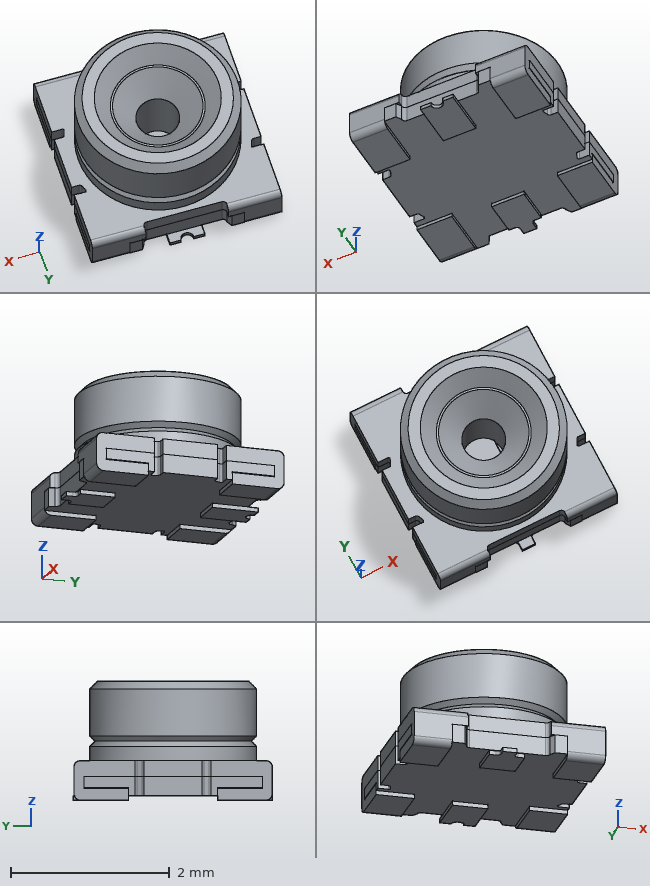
import cadquery as cq

base_size = 2.5
total_height = 1.5
plate_top = 0.5
split_z = 0.299
case_bottom = 0.055

tower_diameter = 2.1
tower_chamfer = 0.098
groove_z = 0.745
groove_half_height = 0.065
groove_depth = 0.065

mouth_diameter = 1.6
bore_diameter = 1.195
funnel_diameter = 1.14
hole_diameter = 0.55
hole_floor = 0.15

leg_inner_x = 0.753
leg_thickness = 0.128
foot_length = 0.69
foot_thickness = 0.15
foot_gap = 0.01
top_fold_radius = 0.08
bottom_fold_radius = 0.09

notch_half_width = 0.545
notch_floor_y = 1.127
notch_corner_radius = 0.05
notch_flare = 0.045

slot_inner_y = 0.365
slot_outer_y = 0.48
slot_inner_depth = 0.123
slot_outer_depth = 0.168
slot_inner_round = 0.04
slot_outer_round = 0.02

terminal_thickness = 0.055
terminal_width = 0.462
fixed_terminal_reach = 1.26
moving_terminal_reach = 1.25
terminal_bend_y = 0.703
fixed_contact_end_y = -0.326
moving_contact_end_y = 0.402
half_hole_diameter = 0.165
half_hole_depth = 0.083
shoulder_y = 1.11
tail_width = 0.185
tail_corner_radius = 0.05

half_base = base_size / 2
tower_radius = tower_diameter / 2
mouth_radius = mouth_diameter / 2
bore_radius = bore_diameter / 2
funnel_radius = funnel_diameter / 2
hole_radius = hole_diameter / 2
boss_top = total_height - (mouth_radius - bore_radius)
hole_top = boss_top - (funnel_radius - hole_radius)
signs = (-1, 1)


def block(x_range, y_range, z_range):
    """Box between two limits, in any order, along each axis."""
    sizes = [abs(r[1] - r[0]) for r in (x_range, y_range, z_range)]
    centre = tuple((r[0] + r[1]) / 2 for r in (x_range, y_range, z_range))
    return cq.Workplane("XY").box(*sizes).translate(centre)


def turned(profile):
    """Solid of revolution about Z from (radius, height) points."""
    return cq.Workplane("XZ").polyline(profile).close().revolve(360, (0, 0), (0, 1))


def leg_ranges():
    """X range, leg Y range and foot Y range of each of the four shell legs."""
    ranges = []
    for x_side in signs:
        for y_side in signs:
            outer_y = y_side * half_base
            x_range = (x_side * leg_inner_x, x_side * half_base)
            leg_y = (outer_y, outer_y - y_side * leg_thickness)
            foot_y = (outer_y, outer_y - y_side * foot_length)
            ranges.append((x_range, leg_y, foot_y))
    return ranges


def edge_notch(side, flare):
    """Full-height notch cutter for the side facing side * Y, with rounded inner corners."""
    straight_part = block(
        (-notch_half_width, notch_half_width), (notch_floor_y, half_base), (0, total_height)
    )
    cutter = straight_part.edges("|Z and <Y").fillet(notch_corner_radius)
    if flare > 0:
        flare_start_y = notch_floor_y + notch_corner_radius
        flared_mouth = [
            (-notch_half_width, flare_start_y),
            (notch_half_width, flare_start_y),
            (notch_half_width + flare, half_base),
            (-notch_half_width - flare, half_base),
        ]
        cutter = cutter.union(cq.Workplane("XY").polyline(flared_mouth).close().extrude(total_height))
    return cutter if side > 0 else cutter.mirror("XZ")


def side_slot(x_side, y_side):
    """Full-height slot cutter with a slanted, round-cornered inner end."""
    outline = [
        (half_base, slot_inner_y),
        (half_base - slot_inner_depth, slot_inner_y),
        (half_base - slot_outer_depth, slot_outer_y),
        (half_base, slot_outer_y),
    ]
    points = [(x_side * x, y_side * y) for x, y in outline]
    cutter = cq.Workplane("XY").polyline(points).close().extrude(total_height)
    for depth, y, radius in (
        (slot_inner_depth, slot_inner_y, slot_inner_round),
        (slot_outer_depth, slot_outer_y, slot_outer_round),
    ):
        corner = (x_side * (half_base - depth), y_side * y, total_height / 2)
        corner_edge = cq.selectors.NearestToPointSelector(corner)
        cutter = cutter.edges("|Z").edges(corner_edge).fillet(radius)
    return cutter


def cut_side_features(body, notch_mouth_flare):
    """Cut the two notches and four slots shared by the shell and the case."""
    for side in signs:
        body = body.cut(edge_notch(side, notch_mouth_flare))
    for x_side in signs:
        for y_side in signs:
            body = body.cut(side_slot(x_side, y_side))
    return body


def make_shell():
    """Metal shell: round tower on a square plate with four folded-under legs."""
    plate = block((-half_base, half_base), (-half_base, half_base), (split_z, plate_top))
    for leg_x, leg_y, foot_y in leg_ranges():
        plate = plate.union(block(leg_x, leg_y, (0, split_z)))
        plate = plate.union(block(leg_x, foot_y, (0, foot_thickness)))
    plate = plate.faces("<Y or >Y").edges(">Z").fillet(top_fold_radius)
    plate = plate.faces("<Y or >Y").edges("<Z").fillet(bottom_fold_radius)
    plate = cut_side_features(plate, 0)

    tower_profile = [
        (0, split_z),
        (tower_radius, split_z),
        (tower_radius, groove_z - groove_half_height),
        (tower_radius - groove_depth, groove_z),
        (tower_radius, groove_z + groove_half_height),
        (tower_radius, total_height - tower_chamfer),
        (tower_radius - tower_chamfer, total_height),
        (0, total_height),
    ]
    bore_profile = [
        (0, split_z),
        (bore_radius, split_z),
        (bore_radius, boss_top),
        (mouth_radius, total_height),
        (0, total_height),
    ]
    tower = turned(tower_profile)
    bore = turned(bore_profile)
    return plate.union(tower).cut(bore)


def stepped_strip(reach, contact_end_y):
    """Full-width strip pointing to +Y: flat on the board outside, stepped up inside the case."""
    riser_inner_y = terminal_bend_y - terminal_thickness
    contact_top = hole_floor + terminal_thickness
    profile = [
        (reach, 0),
        (reach, terminal_thickness),
        (terminal_bend_y, terminal_thickness),
        (terminal_bend_y, contact_top),
        (contact_end_y, contact_top),
        (contact_end_y, hole_floor),
        (riser_inner_y, hole_floor),
        (riser_inner_y, 0),
    ]
    return cq.Workplane("YZ").polyline(profile).close().extrude(terminal_width / 2, both=True)


def make_fixed_terminal():
    """Terminal on the +Y side, lying across the bottom of the hole."""
    strip = stepped_strip(fixed_terminal_reach, fixed_contact_end_y)
    half_hole_y = fixed_terminal_reach - half_hole_depth + half_hole_diameter / 2
    half_hole = (
        cq.Workplane("XY")
        .center(0, half_hole_y)
        .circle(half_hole_diameter / 2)
        .extrude(terminal_thickness)
    )
    return strip.cut(half_hole)


def make_moving_terminal():
    """Terminal on the -Y side, narrowed to a tail with rounded inner corners."""
    strip = stepped_strip(moving_terminal_reach, moving_contact_end_y)
    for side in signs:
        x_range = (side * tail_width / 2, side * terminal_width / 2)
        beside_tail = block(x_range, (shoulder_y, moving_terminal_reach), (0, terminal_thickness))
        corner = (side * tail_width / 2, shoulder_y, terminal_thickness / 2)
        corner_edge = cq.selectors.NearestToPointSelector(corner)
        beside_tail = beside_tail.edges("|Z").edges(corner_edge).fillet(tail_corner_radius)
        strip = strip.cut(beside_tail)
    return strip.mirror("XZ")


def make_case(terminals):
    """Insulating case: a slab between the shell legs and a boss filling the shell bore."""
    slab = block((-half_base, half_base), (-half_base, half_base), (case_bottom, split_z))
    slab = cut_side_features(slab, notch_flare)
    for leg_x, leg_y, foot_y in leg_ranges():
        slab = slab.cut(block(leg_x, leg_y, (case_bottom, split_z)))
        slab = slab.cut(block(leg_x, foot_y, (case_bottom, foot_thickness + foot_gap)))

    boss = cq.Workplane("XY").workplane(offset=case_bottom).circle(bore_radius).extrude(boss_top - case_bottom)
    funnel_profile = [
        (0, hole_floor),
        (hole_radius, hole_floor),
        (hole_radius, hole_top),
        (funnel_radius, boss_top),
        (0, boss_top),
    ]
    funnel = turned(funnel_profile)
    body = slab.union(boss).cut(funnel)
    for terminal in terminals:
        body = body.cut(terminal)
    return body


shell = make_shell()
fixed_terminal = make_fixed_terminal()
moving_terminal = make_moving_terminal()
case = make_case([fixed_terminal, moving_terminal])

bodies = [shell, case, fixed_terminal, moving_terminal]
result = cq.Compound.makeCompound([body.solids().val() for body in bodies])